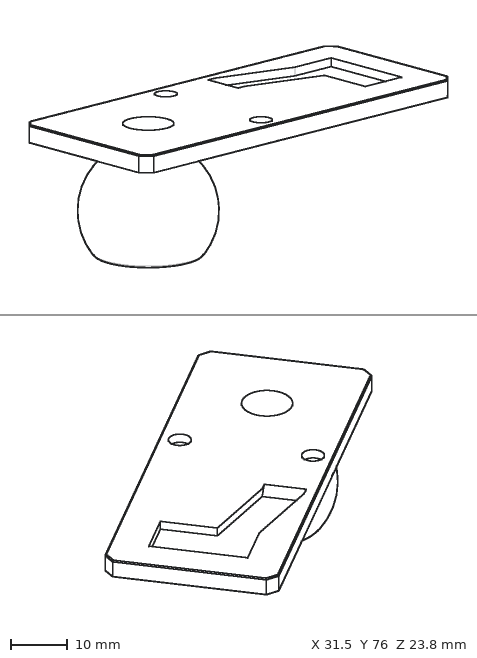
import cadquery as cq
import math

plate_width = 31.5
plate_length = 75.95
plate_thickness = 3.3
corner_chamfer = 1.8
top_edge_chamfer = 0.2

total_height = 23.8
stud_y = -22.2
collar_diameter = 14.0
collar_bottom_z = -5.55
ball_radius = 12.5
ball_rim_chamfer = 0.45
bore_diameter = 9.05

small_hole_diameter = 4.0
small_hole_x = 12.1
small_hole_y = -6.15
countersink_depth = 1.6

pocket_depth = 1.6
head_left_x = -9.05
head_right_x = 8.9
head_top_y = 31.5
head_bottom_y = 22.55
arm_width = 7.6
arm_end_left_x = -13.6
arm_end_y = 7.3
ramp_length = pocket_depth


def make_plate():
    plate = cq.Workplane("XY").rect(plate_width, plate_length).extrude(-plate_thickness)
    plate = plate.edges("|Z").chamfer(corner_chamfer)
    return plate.faces(">Z").edges().chamfer(top_edge_chamfer)


def make_ball_stud():
    """Revolve the collar and the truncated ball about the stud axis."""
    collar_radius = collar_diameter / 2
    ball_z = collar_bottom_z - math.sqrt(ball_radius**2 - collar_radius**2)
    rim_z = -total_height + ball_rim_chamfer
    rim_radius = math.sqrt(ball_radius**2 - (rim_z - ball_z) ** 2)
    profile = (
        cq.Workplane("XZ", origin=(0, stud_y, 0))
        .moveTo(0, -plate_thickness)
        .lineTo(collar_radius, -plate_thickness)
        .lineTo(collar_radius, collar_bottom_z)
        .threePointArc((ball_radius, ball_z), (rim_radius, rim_z))
        .lineTo(rim_radius - ball_rim_chamfer, -total_height)
        .lineTo(0, -total_height)
        .close()
    )
    return profile.revolve(360, (0, 0), (0, 1))


def make_pocket():
    outline = [
        (head_left_x, head_top_y),
        (head_right_x, head_top_y),
        (head_right_x, head_bottom_y),
        (head_left_x + arm_width, head_bottom_y),
        (arm_end_left_x + arm_width, arm_end_y),
        (arm_end_left_x, arm_end_y),
        (head_left_x, head_bottom_y),
    ]
    pocket = cq.Workplane("XY").polyline(outline).close().extrude(-pocket_depth)
    ramp = (
        cq.Workplane("YZ", origin=(arm_end_left_x, 0, 0))
        .polyline([(arm_end_y, 0), (arm_end_y, -pocket_depth), (arm_end_y - ramp_length, 0)])
        .close()
        .extrude(arm_width)
    )
    return pocket.union(ramp)


def make_small_hole(x):
    """Through hole that widens towards the underside of the plate."""
    radius = small_hole_diameter / 2
    sink_radius = radius + countersink_depth
    profile = (
        cq.Workplane("XZ", origin=(x, small_hole_y, 0))
        .polyline([
            (0, 0),
            (radius, 0),
            (radius, countersink_depth - plate_thickness),
            (sink_radius, -plate_thickness),
            (0, -plate_thickness),
        ])
        .close()
    )
    return profile.revolve(360, (0, 0), (0, 1))


def make_bore():
    """Bore through the plate and the whole ball stud."""
    return cq.Workplane("XY").center(0, stud_y).circle(bore_diameter / 2).extrude(-total_height)


result = make_plate().union(make_ball_stud()).cut(make_pocket()).cut(make_bore())
for side in (-1, 1):
    result = result.cut(make_small_hole(side * small_hole_x))